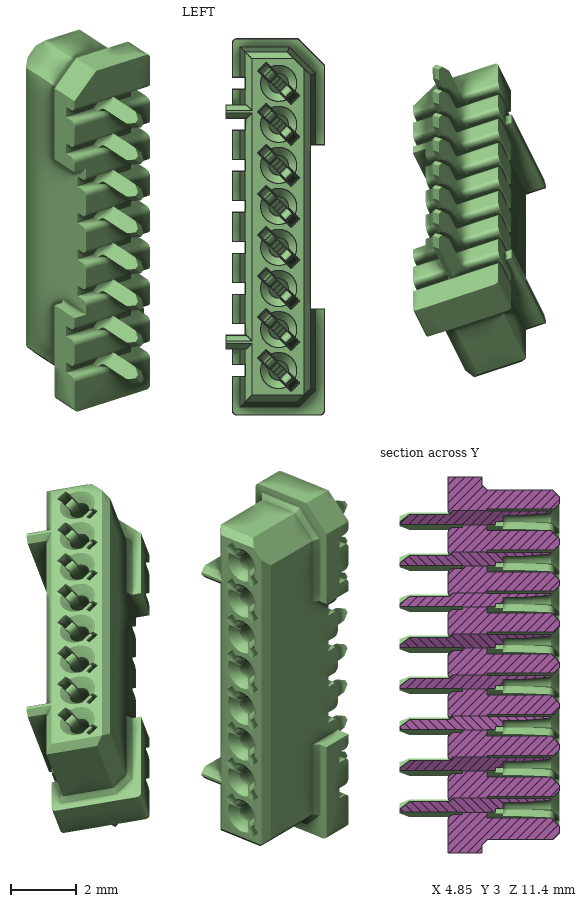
import cadquery as cq
import math


contact_count = 8
contact_pitch = 1.25
contact_heights = [(i - (contact_count - 1) / 2) * contact_pitch for i in range(contact_count)]

shroud_half_height = 5.32
shroud_front_y = -0.97
shroud_back_y = 1.02
shroud_length = 2.2
top_corner_cut = 0.71
bottom_corner_cut = 0.41
mating_edge_chamfer = 0.21

flare = 0.15
flange_x = shroud_length + flare
housing_length = 3.4
flange_half_height = 5.72
flange_front_y = -1.4
flange_back_y = 1.41
flange_corner_cut = 0.8
flange_corner_radius = 0.14
relief_half_height = 2.5

rib_length = 2.79
rib_tip_y = 1.6
rib_thickness = 0.42
rib_chamfer = 0.17
rib_offset = 3.5

notch_height = 0.35
notch_x = 2.95
notch_mouth_radius = 0.18

lead_in_radius = 0.55
bore_radius = 0.3
cavity_width = 1.44
cavity_thickness = 0.37
cavity_depth = shroud_length

contact_thickness = 0.3
contact_base_half = 0.68
prong_tip_x = 0.15
prong_tip_half = 0.45
fork_mouth_half = 0.24
fork_pinch_x = 1.15
fork_pinch_half = 0.2
fork_ledge_x = 1.72
fork_slit_half = 0.07
fork_floor_x = 1.95
shoulder_x = 3.21
shoulder_fillet = 0.17
pin_half_width = 0.23
pin_tip_x = 4.85
pin_taper_length = 0.3
pin_taper_depth = 0.16


def corner_cut_outline(margin, top_cut, bottom_cut):
    """Shroud outline grown by margin, with its two -Y corners cut at 45 degrees."""
    front = shroud_front_y - margin
    back = shroud_back_y + margin
    half = shroud_half_height + margin
    return [
        (back, half),
        (front + top_cut, half),
        (front, half - top_cut),
        (front, bottom_cut - half),
        (front + bottom_cut, -half),
        (back, -half),
    ]


def make_shroud():
    """Block chamfered at the mating face; the cut corners run to the face unchamfered."""
    block = (
        cq.Workplane("XY")
        .box(
            shroud_length,
            shroud_back_y - shroud_front_y,
            2 * shroud_half_height,
            centered=(False, False, True),
        )
        .translate((0, shroud_front_y, 0))
        .faces("<X")
        .chamfer(mating_edge_chamfer)
    )
    outline = corner_cut_outline(0, top_corner_cut, bottom_corner_cut)
    prism = cq.Workplane("YZ").polyline(outline).close().extrude(shroud_length)
    return block.intersect(prism)


def make_flare():
    """45 degree skirt that widens from the shroud to the flange."""
    cut_growth = flare * (2 - math.sqrt(2))
    small = corner_cut_outline(0, top_corner_cut, bottom_corner_cut)
    large = corner_cut_outline(flare, top_corner_cut + cut_growth, bottom_corner_cut + cut_growth)
    return (
        cq.Workplane("YZ", origin=(shroud_length, 0, 0))
        .polyline(small)
        .close()
        .workplane(offset=flare)
        .polyline(large)
        .close()
        .loft(ruled=True)
    )


def make_flange():
    """Rear plate with one cut corner and three rounded corners."""
    height = flange_half_height
    outline = [
        (flange_back_y, height),
        (flange_front_y + flange_corner_cut, height),
        (flange_front_y, height - flange_corner_cut),
        (flange_front_y, -height),
        (flange_back_y, -height),
    ]
    plate = cq.Workplane("YZ", origin=(flange_x, 0, 0)).polyline(outline).close()
    plate = plate.extrude(housing_length - flange_x)
    plate = plate.edges("|X and >Y").fillet(flange_corner_radius)
    return plate.edges("|X and <Z").edges("<Y").fillet(flange_corner_radius)


def make_core():
    """Middle of the housing, which keeps the shroud faces behind the cut-away flange."""
    outline = corner_cut_outline(0, top_corner_cut, bottom_corner_cut)
    return (
        cq.Workplane("YZ", origin=(shroud_length, 0, 0))
        .polyline(outline)
        .close()
        .extrude(housing_length - shroud_length)
    )


def make_rib(z):
    """Keying rib on the +Y side, bevelled to a narrow edge at the mating face."""
    half = rib_thickness / 2
    outline = [
        (0, rib_chamfer - half),
        (rib_chamfer, -half),
        (rib_length, -half),
        (rib_length, half),
        (rib_chamfer, half),
        (0, half - rib_chamfer),
    ]
    return (
        cq.Workplane("XZ", origin=(0, rib_tip_y, z))
        .polyline(outline)
        .close()
        .extrude(rib_tip_y)
    )


def make_flange_relief():
    """Opening between the two wings of the flange on the -Y side."""
    depth = shroud_front_y - flange_front_y
    return (
        cq.Workplane("XY")
        .box(housing_length - shroud_length, depth, 2 * relief_half_height, centered=(False, False, True))
        .translate((shroud_length, flange_front_y, 0))
    )


def make_flange_slot(z):
    """Slot through the flange on the +Y side, down to the shroud face."""
    depth = flange_back_y - shroud_back_y
    return (
        cq.Workplane("XY")
        .box(housing_length - shroud_length, depth, notch_height, centered=(False, False, True))
        .translate((shroud_length, shroud_back_y, z))
    )


def make_notch(z):
    """Notch across the rear face, with a rounded mouth."""
    half = notch_height / 2
    radius = notch_mouth_radius
    mouth_half = half + radius
    arc_offset = radius * math.sqrt(0.5)
    arc_x = housing_length - radius + arc_offset
    arc_z = mouth_half - arc_offset
    return (
        cq.Workplane("XZ", origin=(0, flange_back_y, z))
        .moveTo(notch_x, -half)
        .lineTo(housing_length - radius, -half)
        .threePointArc((arc_x, -arc_z), (housing_length, -mouth_half))
        .lineTo(housing_length, mouth_half)
        .threePointArc((arc_x, arc_z), (housing_length - radius, half))
        .lineTo(notch_x, half)
        .close()
        .extrude(flange_back_y - flange_front_y)
    )


def contact_plane(z):
    """Plane of a flat contact: local x runs along X, local y along the +Y+Z diagonal."""
    return cq.Workplane(cq.Plane(origin=(0, 0, z), xDir=(1, 0, 0), normal=(0, -1, 1)))


def make_cavity(z):
    """Conical lead-in and bore, crossed by the slot that clears the fork."""
    cone_depth = lead_in_radius - bore_radius
    profile = [
        (0, 0),
        (0, lead_in_radius),
        (cone_depth, bore_radius),
        (cavity_depth, bore_radius),
        (cavity_depth, 0),
    ]
    bore = (
        cq.Workplane("XY", origin=(0, 0, z))
        .polyline(profile)
        .close()
        .revolve(360, (0, 0, 0), (1, 0, 0))
    )
    clearance = (
        contact_plane(z)
        .center(cavity_depth / 2, 0)
        .rect(cavity_depth, cavity_width)
        .extrude(cavity_thickness / 2, both=True)
    )
    return bore.union(clearance)


def make_contact(z):
    """Flat contact: a two-pronged fork in front, a wide base and a tapered pin behind."""
    tip_radius = prong_tip_half - fork_mouth_half
    tip_arc = tip_radius * math.sqrt(0.5)
    tip_arc_x = prong_tip_x + tip_radius - tip_arc
    tip_arc_y = prong_tip_half - tip_arc
    fillet_end_x = shoulder_x + shoulder_fillet
    fillet_start_y = pin_half_width + shoulder_fillet
    fillet_arc = shoulder_fillet * math.sqrt(0.5)
    fillet_mid = (fillet_end_x - fillet_arc, fillet_start_y - fillet_arc)
    pin_tip_half = pin_half_width - pin_taper_depth
    half = (
        contact_plane(z)
        .moveTo(fork_floor_x, 0)
        .lineTo(fork_floor_x, fork_slit_half)
        .lineTo(fork_ledge_x, fork_slit_half)
        .lineTo(fork_ledge_x, fork_pinch_half)
        .lineTo(fork_pinch_x, fork_pinch_half)
        .lineTo(prong_tip_x + tip_radius, fork_mouth_half)
        .threePointArc((tip_arc_x, tip_arc_y), (prong_tip_x, prong_tip_half))
        .lineTo(cavity_depth, contact_base_half)
        .lineTo(shoulder_x, contact_base_half)
        .lineTo(shoulder_x, fillet_start_y)
        .threePointArc(fillet_mid, (fillet_end_x, pin_half_width))
        .lineTo(pin_tip_x - pin_taper_length, pin_half_width)
        .lineTo(pin_tip_x, pin_tip_half)
        .lineTo(pin_tip_x, 0)
        .close()
        .extrude(contact_thickness / 2, both=True)
    )
    other_half = half.rotate((0, 0, z), (1, 0, z), 180)
    return half.union(other_half)


def make_housing():
    """Shroud, flange and ribs, with cavities and a close-fitting seat for every contact."""
    housing = make_flare().union(make_flange()).cut(make_flange_relief())
    for z in contact_heights:
        housing = housing.cut(make_flange_slot(z))
    housing = housing.union(make_shroud()).union(make_core())
    for z in (-rib_offset, rib_offset):
        housing = housing.union(make_rib(z))
    for z in contact_heights:
        housing = housing.cut(make_notch(z)).cut(make_cavity(z)).cut(make_contact(z))
    return housing


housing = make_housing()
contacts = [make_contact(z) for z in contact_heights]

result = cq.Compound.makeCompound([housing.solids().val(), *[contact.solids().val() for contact in contacts]])